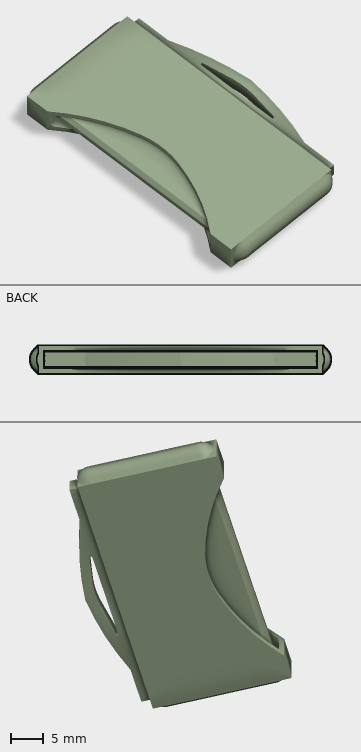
import cadquery as cq
import math

HOUSING_WIDTH = 43.4
HOUSING_LENGTH = 21.9
HOUSING_HEIGHT = 4.4

OVERALL_WIDTH = 45.95
RAIL_RADIUS = HOUSING_HEIGHT / 2
RAIL_AXIS_X = OVERALL_WIDTH / 2 - RAIL_RADIUS
RAIL_FRONT_CENTRE = 2.6
RAIL_BACK_CENTRE = HOUSING_LENGTH - 1.98

POCKET_HEIGHT = 2.65
POCKET_SIDE_GAP = 0.15
FRONT_WALL = 0.75
MOUTH_WIDTH = 33.9
MOUTH_CORNER_RADIUS = 0.7

CUTOUT_HALF_WIDTH = 17.33
CUTOUT_DEPTH = 7.12
CUTOUT_CROWN_END = (4.0, 6.6)
CUTOUT_FLANK_MIDDLE = (10.65, 4.2)

SLIDE_WIDTH = 41.45
SLIDE_FRONT = 1.6
SLIDE_SHOULDER = HOUSING_LENGTH + 1.55
SLIDE_BACK = 26.65
SLIDE_TOP = 1.2
SLIDE_THICKNESS = 2.3
SLIDE_BOTTOM = SLIDE_TOP - SLIDE_THICKNESS
TOP_CHAMFER = 0.6
BOTTOM_CHAMFER = 0.87

GRIP_HALF_WIDTH = 14.5
GRIP_FLANK_MIDDLE = (7.3, 25.55)
WINDOW_HALF_WIDTH = 7.68
WINDOW_SIDE_BACK = SLIDE_SHOULDER + 0.4
WINDOW_BACK = SLIDE_BACK - 1.65
WINDOW_CROWN_END = (2.05, WINDOW_BACK - 0.15)


def mirrored(point):
    """The point on the other side of the YZ plane."""
    return (-point[0], point[1])


def box_between(width, front, back, height):
    """Box from front to back along Y, centred on X = 0 and Z = 0."""
    return cq.Workplane("XY").box(width, back - front, height).translate((0, (front + back) / 2, 0))


def make_rail():
    """Rail on the +X side: round nose with 45 degree flanks, the same section turned at both ends."""
    nose_offset = RAIL_RADIUS * math.sqrt(0.5)
    nose_start = RAIL_AXIS_X + nose_offset
    flank_start = RAIL_AXIS_X + RAIL_RADIUS * (math.sqrt(2) - 1)

    section = (
        cq.Workplane("XZ", origin=(0, RAIL_FRONT_CENTRE, 0))
        .moveTo(RAIL_AXIS_X, -RAIL_RADIUS)
        .lineTo(flank_start, -RAIL_RADIUS)
        .lineTo(nose_start, -nose_offset)
        .threePointArc((OVERALL_WIDTH / 2, 0), (nose_start, nose_offset))
        .lineTo(flank_start, RAIL_RADIUS)
        .lineTo(RAIL_AXIS_X, RAIL_RADIUS)
        .close()
    )
    rail = section.extrude(RAIL_FRONT_CENTRE - RAIL_BACK_CENTRE)

    for centre_y in (RAIL_FRONT_CENTRE, RAIL_BACK_CENTRE):
        rail_end = (
            cq.Workplane("XY", origin=(0, centre_y, 0))
            .moveTo(RAIL_AXIS_X, 0)
            .lineTo(RAIL_AXIS_X, RAIL_RADIUS)
            .lineTo(flank_start, RAIL_RADIUS)
            .lineTo(nose_start, nose_offset)
            .radiusArc((OVERALL_WIDTH / 2, 0), RAIL_RADIUS)
            .close()
            .revolve(360, (0, 0, 0), (1, 0, 0))
        )
        rail = rail.union(rail_end)

    housing_envelope = box_between(OVERALL_WIDTH, 0, HOUSING_LENGTH, HOUSING_HEIGHT)
    return rail.intersect(housing_envelope)


def make_finger_cutout():
    """Bow-shaped cutter through the full height of the front edge."""
    return (
        cq.Workplane("XY", origin=(0, 0, -HOUSING_HEIGHT / 2))
        .moveTo(-CUTOUT_HALF_WIDTH, 0)
        .threePointArc(mirrored(CUTOUT_FLANK_MIDDLE), mirrored(CUTOUT_CROWN_END))
        .threePointArc((0, CUTOUT_DEPTH), CUTOUT_CROWN_END)
        .threePointArc(CUTOUT_FLANK_MIDDLE, (CUTOUT_HALF_WIDTH, 0))
        .close()
        .extrude(HOUSING_HEIGHT)
    )


def make_housing():
    """Sleeve with side rails, a pocket open at the back, a mouth and the finger cutout."""
    block = box_between(HOUSING_WIDTH, 0, HOUSING_LENGTH, HOUSING_HEIGHT)
    right_rail = make_rail()
    left_rail = right_rail.mirror("YZ")
    shell = block.union(right_rail).union(left_rail)

    pocket_width = SLIDE_WIDTH + 2 * POCKET_SIDE_GAP
    pocket = box_between(pocket_width, FRONT_WALL, HOUSING_LENGTH, POCKET_HEIGHT)
    mouth = box_between(MOUTH_WIDTH, 0, FRONT_WALL, POCKET_HEIGHT)
    mouth = mouth.edges("|Y").fillet(MOUTH_CORNER_RADIUS)
    return shell.cut(pocket).cut(mouth).cut(make_finger_cutout())


def make_slide_plate():
    """Flat plate with the bowed grip along its back edge."""
    return (
        cq.Workplane("XY", origin=(0, 0, SLIDE_BOTTOM))
        .moveTo(-SLIDE_WIDTH / 2, SLIDE_FRONT)
        .lineTo(-SLIDE_WIDTH / 2, SLIDE_SHOULDER)
        .lineTo(-GRIP_HALF_WIDTH, SLIDE_SHOULDER)
        .threePointArc(mirrored(GRIP_FLANK_MIDDLE), (0, SLIDE_BACK))
        .threePointArc(GRIP_FLANK_MIDDLE, (GRIP_HALF_WIDTH, SLIDE_SHOULDER))
        .lineTo(SLIDE_WIDTH / 2, SLIDE_SHOULDER)
        .lineTo(SLIDE_WIDTH / 2, SLIDE_FRONT)
        .close()
        .extrude(SLIDE_THICKNESS)
    )


def make_grip_window():
    """Cutter for the window under the grip: straight sloping sides and a rounded crown."""
    return (
        cq.Workplane("XY", origin=(0, 0, SLIDE_BOTTOM))
        .moveTo(-WINDOW_HALF_WIDTH, SLIDE_SHOULDER)
        .lineTo(-WINDOW_HALF_WIDTH, WINDOW_SIDE_BACK)
        .lineTo(*mirrored(WINDOW_CROWN_END))
        .threePointArc((0, WINDOW_BACK), WINDOW_CROWN_END)
        .lineTo(WINDOW_HALF_WIDTH, WINDOW_SIDE_BACK)
        .lineTo(WINDOW_HALF_WIDTH, SLIDE_SHOULDER)
        .close()
        .extrude(SLIDE_THICKNESS)
    )


def make_slide():
    """Slide plate with bevels along the front edge and the grip window."""
    plate = make_slide_plate()
    plate = plate.faces("<Y").edges(">Z").chamfer(TOP_CHAMFER)
    plate = plate.faces("<Y").edges("<Z").chamfer(BOTTOM_CHAMFER)
    return plate.cut(make_grip_window())


housing = make_housing()
slide = make_slide()

result = cq.Compound.makeCompound([*housing.solids().vals(), *slide.solids().vals()])